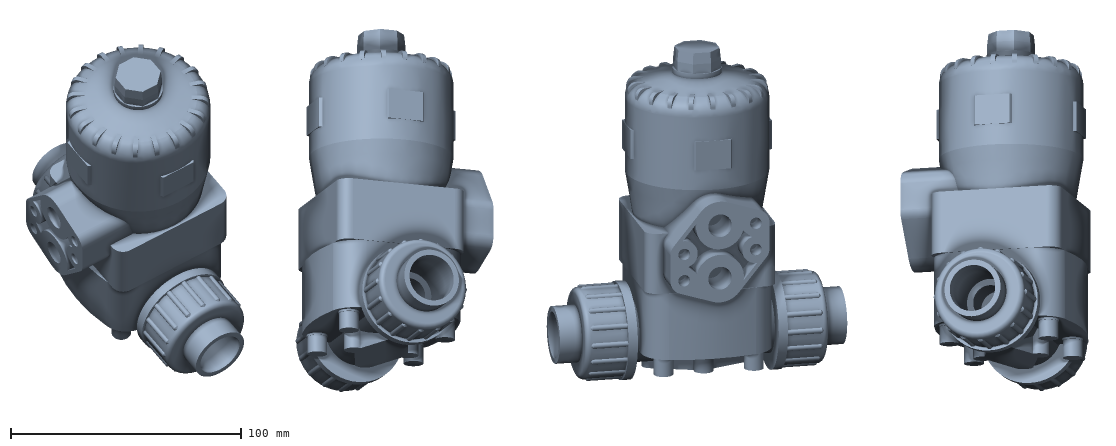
import cadquery as cq
import math


overall_length = 128.0
pipe_half_length = overall_length / 2
pipe_radius = 12.6
bore_radius = 10.2
bore_end_x = 35.5
inner_bore_radius = 7.4
inner_bore_end_x = 22.2
neck_radius = 14.2
nut_inner_x = 31.4
nut_flange_x = 35.5
nut_outer_x = 54.2
nut_flange_radius = 21.6
nut_radius = 20.1
nut_edge_fillet = 2.2
nut_rib_count = 16
nut_rib_tip_radius = 21.0
nut_rib_section_radius = 1.3
nut_rib_outer_x = nut_outer_x - nut_edge_fillet
nut_rib_chamfer = 1.0

foot_bottom_z = -16.9
bolt_bottom_z = -14.2
body_bottom_z = -5.8
block_bottom_z = 24.5
block_top_z = 51.8
taper_top_z = 70.9
dome_bottom_z = 103.9
collar_bottom_z = 115.0
cap_bottom_z = 117.2
cap_bevel_z = 121.5
overall_height = 148.0
top_z = overall_height - nut_flange_radius

body_half_x = 28.9
body_half_y = 31.8
body_bulge_radius = 78.5
body_corner_radius = 12.6
block_width = 58.3
block_corner_radius = 5.6
bolt_radius = 4.3
bolt_collar_radius = 4.6
bolt_collar_height = 0.9
bolt_x = 20.1
bolt_y = 22.2
foot_lobe_radius = 4.3
foot_end_x = 20.4
foot_centre_offset = 7.8
foot_post_y = 12.6

housing_radius = 31.4
taper_bottom_radius = 28.1
housing_overlap = 1.5
dome_fillet = 7.8
collar_radius = 10.7
cone_angle = 15.4
cap_flats = 19.4
cap_top_flats = 18.4
dome_rib_count = 20
dome_rib_width = 2.0
dome_rib_top_z = 112.0
dome_rib_bottom_z = 107.2
dome_rib_bend_z = 108.3
dome_rib_inner_radius = 22.2
dome_rib_bend_radius = 27.0
dome_rib_outer_radius = 30.8
pad_bottom_z = 80.0
pad_top_z = 93.1
pad_face_distance = 31.5
pad_face_width = 15.7
pad_root_distance = 28.1
pad_root_width = 19.5

plate_face_y = -43.8
plate_root_y = -11.8
plate_centre_z = 46.3
port_pitch = 23.8
port_offset = port_pitch / 2
port_radius = 5.2
port_boss_radius = 11.0
port_depth = 17.8
screw_x = 16.0
screw_diameter = 5.2
screw_radius = screw_diameter / 2
screw_boss_radius = 6.0
screw_depth = 8.9
pocket_depth = 8.9
pocket_inset = 1.8
pocket_half_length = 13.5
pocket_port_clearance_radius = 10.7


def x_cylinder(radius, x0, x1):
    return cq.Workplane("YZ").workplane(offset=x0).circle(radius).extrude(x1 - x0)


def rounded_hull(plane, circles, length):
    """Extrude a belt around circles (u, v, radius) listed clockwise."""
    edges = []
    for (u0, v0, r0), (u1, v1, r1) in zip(circles, circles[1:] + circles[:1]):
        spread = math.hypot(u1 - u0, v1 - v0)
        normal = math.atan2(v1 - v0, u1 - u0) + math.acos((r0 - r1) / spread)
        nu = math.cos(normal)
        nv = math.sin(normal)
        edges.append((normal, (u0 + r0 * nu, v0 + r0 * nv), (u1 + r1 * nu, v1 + r1 * nv)))

    outline = cq.Workplane(plane).moveTo(*edges[0][1])
    following = edges[1:] + edges[:1]
    for edge, next_edge, (u, v, r) in zip(edges, following, circles[1:] + circles[:1]):
        turn = (edge[0] - next_edge[0]) % (2 * math.pi)
        middle = edge[0] - turn / 2
        outline = outline.lineTo(*edge[2])
        outline = outline.threePointArc((u + r * math.cos(middle), v + r * math.sin(middle)), next_edge[1])
    return outline.close().extrude(length)


def union_nut():
    """Ribbed nut with its flange, on the +X side."""
    nut = x_cylinder(nut_radius, nut_inner_x, nut_outer_x).faces(">X").edges().fillet(nut_edge_fillet)
    nut = nut.union(x_cylinder(nut_flange_radius, nut_inner_x, nut_flange_x))
    rib = x_cylinder(nut_rib_section_radius, nut_flange_x, nut_rib_outer_x)
    rib = rib.faces(">X").chamfer(nut_rib_chamfer)
    rib = rib.translate((0, 0, nut_rib_tip_radius - nut_rib_section_radius))
    for i in range(nut_rib_count):
        nut = nut.union(rib.rotate((0, 0, 0), (1, 0, 0), i * 360 / nut_rib_count))
    return nut


def corner_pins(radius, bottom_z):
    """Four upright pins at the cover bolt positions, ending inside the body."""
    return (
        cq.Workplane("XY")
        .workplane(offset=bottom_z)
        .rect(2 * bolt_x, 2 * bolt_y, forConstruction=True)
        .vertices()
        .circle(radius)
        .extrude(block_bottom_z - bottom_z)
    )


def valve_body():
    """Bulged lower body, square block, cover bolts and diamond-shaped foot."""
    bulge_centre_y = body_half_y - body_bulge_radius
    corner_y = bulge_centre_y + math.sqrt(body_bulge_radius**2 - body_half_x**2)
    body = (
        cq.Workplane("XY")
        .workplane(offset=body_bottom_z)
        .moveTo(-body_half_x, corner_y)
        .threePointArc((0, body_half_y), (body_half_x, corner_y))
        .lineTo(body_half_x, -corner_y)
        .threePointArc((0, -body_half_y), (-body_half_x, -corner_y))
        .close()
        .extrude(block_bottom_z - body_bottom_z)
        .edges("|Z")
        .fillet(body_corner_radius)
    )
    block = (
        cq.Workplane("XY")
        .workplane(offset=block_bottom_z)
        .rect(block_width, block_width)
        .extrude(block_top_z - block_bottom_z)
        .edges("|Z")
        .fillet(block_corner_radius)
    )
    bolts = corner_pins(bolt_radius, bolt_bottom_z)
    bolt_collars = corner_pins(bolt_collar_radius, body_bottom_z - bolt_collar_height)
    foot_circles = [
        (-foot_end_x, 0, foot_lobe_radius),
        (0, foot_centre_offset, foot_lobe_radius),
        (foot_end_x, 0, foot_lobe_radius),
        (0, -foot_centre_offset, foot_lobe_radius),
    ]
    foot_height = block_bottom_z - foot_bottom_z
    foot = rounded_hull(cq.Plane.XY((0, 0, foot_bottom_z)), foot_circles, foot_height)
    posts = (
        cq.Workplane("XY")
        .workplane(offset=foot_bottom_z)
        .pushPoints([(0, foot_post_y), (0, -foot_post_y)])
        .circle(foot_lobe_radius)
        .extrude(foot_height)
    )
    return body.union(block).union(bolts).union(bolt_collars).union(foot).union(posts)


def actuator():
    """Turned housing with a rounded conical lid, lid ribs, side pads and octagonal cap."""
    tilt = math.radians(cone_angle)
    fillet_centre_r = housing_radius - dome_fillet
    cone_edge_r = fillet_centre_r + dome_fillet * math.sin(tilt)
    cone_edge_z = dome_bottom_z + dome_fillet * math.cos(tilt)
    middle = (math.pi / 2 - tilt) / 2
    arc_middle = (
        fillet_centre_r + dome_fillet * math.cos(middle),
        dome_bottom_z + dome_fillet * math.sin(middle),
    )
    housing = (
        cq.Workplane("XZ")
        .moveTo(0, block_top_z - housing_overlap)
        .lineTo(taper_bottom_radius, block_top_z - housing_overlap)
        .lineTo(taper_bottom_radius, block_top_z)
        .lineTo(housing_radius, taper_top_z)
        .lineTo(housing_radius, dome_bottom_z)
        .threePointArc(arc_middle, (cone_edge_r, cone_edge_z))
        .lineTo(collar_radius, collar_bottom_z)
        .lineTo(collar_radius, cap_bottom_z)
        .lineTo(0, cap_bottom_z)
        .close()
        .revolve(360, (0, 0, 0), (0, 1, 0))
    )
    bend_middle = (
        dome_rib_bend_radius + (dome_rib_outer_radius - dome_rib_bend_radius) * math.sin(math.pi / 4),
        dome_rib_bend_z + (dome_rib_top_z - dome_rib_bend_z) * math.sin(math.pi / 4),
    )
    rib = (
        cq.Workplane("XZ")
        .moveTo(dome_rib_inner_radius, dome_rib_bottom_z)
        .lineTo(dome_rib_inner_radius, dome_rib_top_z)
        .lineTo(dome_rib_bend_radius, dome_rib_top_z)
        .threePointArc(bend_middle, (dome_rib_outer_radius, dome_rib_bend_z))
        .lineTo(dome_rib_outer_radius, dome_rib_bottom_z)
        .close()
        .extrude(dome_rib_width / 2, both=True)
    )
    for i in range(dome_rib_count):
        housing = housing.union(rib.rotate((0, 0, 0), (0, 0, 1), i * 360 / dome_rib_count))

    pad = (
        cq.Workplane("XY")
        .workplane(offset=pad_bottom_z)
        .moveTo(pad_root_distance, -pad_root_width / 2)
        .lineTo(pad_face_distance, -pad_face_width / 2)
        .lineTo(pad_face_distance, pad_face_width / 2)
        .lineTo(pad_root_distance, pad_root_width / 2)
        .close()
        .extrude(pad_top_z - pad_bottom_z)
    )
    for angle in (0, 90, 180, 270):
        housing = housing.union(pad.rotate((0, 0, 0), (0, 0, 1), angle))
    return housing.union(octagonal_cap())


def octagonal_cap():
    """Octagonal cap with a slightly drawn-in top half."""
    half_side_angle = math.pi / 8

    def octagon(level, flats):
        diameter = flats / math.cos(half_side_angle)
        outline = cq.Workplane("XY").workplane(offset=level).polygon(8, diameter)
        return outline.val().rotate(cq.Vector(0, 0, 0), cq.Vector(0, 0, 1), math.degrees(half_side_angle))

    def prism(z0, flats0, z1, flats1):
        return cq.Workplane(cq.Solid.makeLoft([octagon(z0, flats0), octagon(z1, flats1)], True))

    straight = prism(cap_bottom_z, cap_flats, cap_bevel_z, cap_flats)
    return straight.union(prism(cap_bevel_z, cap_flats, top_z, cap_top_flats))


upper_port = (0, plate_centre_z + port_offset)
lower_port = (0, plate_centre_z - port_offset)
left_screw = (-screw_x, plate_centre_z)
right_screw = (screw_x, plate_centre_z)
lower_left_screw = (-screw_x, plate_centre_z - port_offset)
upper_right_screw = (screw_x, plate_centre_z + port_offset)


def port_plate():
    """Plate with rounded corners around its ports and screws, reaching back into the body."""
    circles = [
        (*lower_left_screw, screw_boss_radius),
        (*left_screw, screw_boss_radius),
        (*upper_port, port_boss_radius),
        (*upper_right_screw, screw_boss_radius),
        (*right_screw, screw_boss_radius),
        (*lower_port, port_boss_radius),
    ]
    return rounded_hull(cq.Plane.XZ((0, plate_root_y, 0)), circles, plate_root_y - plate_face_y)


def plate_holes(points, radius, depth):
    plane = cq.Plane.XZ((0, plate_face_y, 0))
    return cq.Workplane(plane).pushPoints(points).circle(radius).extrude(-depth)


def plate_pocket():
    """Recess parallel to the slanted plate edges, leaving round lands at the holes."""
    port_to_screw = math.hypot(screw_x, port_offset)
    edge_angle = math.atan2(port_offset, screw_x)
    edge_angle += math.asin((port_boss_radius - screw_boss_radius) / port_to_screw)
    edge_distance = port_offset * math.cos(edge_angle) + port_boss_radius
    pocket = (
        cq.Workplane(cq.Plane.XZ((0, plate_face_y, plate_centre_z)))
        .transformed(rotate=(0, 0, math.degrees(edge_angle)))
        .rect(2 * pocket_half_length, 2 * (edge_distance - pocket_inset))
        .extrude(-pocket_depth)
    )
    pocket = pocket.cut(plate_holes([upper_port, lower_port], pocket_port_clearance_radius, pocket_depth))
    return pocket.cut(plate_holes([left_screw, right_screw], screw_boss_radius, pocket_depth))


nut = union_nut()
result = valve_body().union(actuator()).union(port_plate())
result = result.union(x_cylinder(neck_radius, -nut_flange_x, nut_flange_x))
result = result.union(x_cylinder(pipe_radius, -pipe_half_length, pipe_half_length))
result = result.union(nut).union(nut.mirror("YZ"))

bore = x_cylinder(bore_radius, bore_end_x, pipe_half_length)
bore = bore.union(x_cylinder(inner_bore_radius, inner_bore_end_x, bore_end_x))
result = result.cut(bore).cut(bore.mirror("YZ"))

result = result.cut(plate_pocket())
result = result.cut(plate_holes([upper_port, lower_port], port_radius, port_depth))
screws = [left_screw, right_screw, lower_left_screw, upper_right_screw]
result = result.cut(plate_holes(screws, screw_radius, screw_depth))